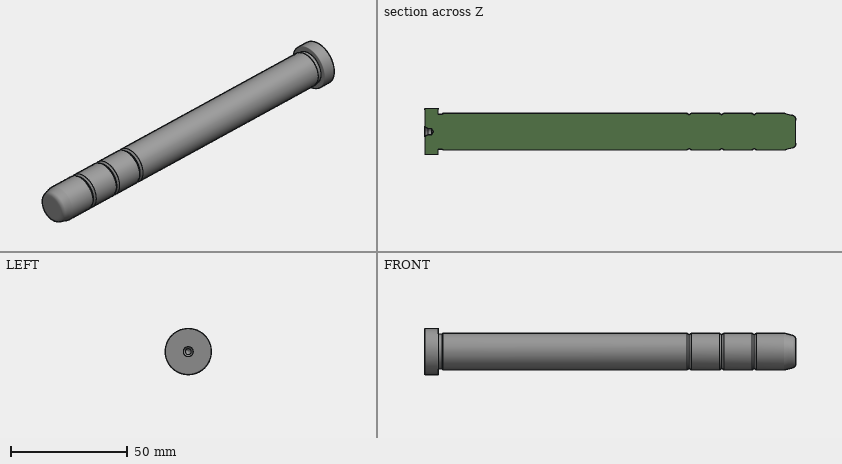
import cadquery as cq
import math

overall_length = 160.0

head_diameter = 20.0
head_length = 6.0
head_outer_fillet = 0.5
head_inner_fillet = 0.3

shaft_diameter = 16.0
neck_diameter = 15.2
neck_end = 8.0
neck_chamfer_length = 0.4

groove_count = 3
first_groove_center = 114.0
groove_pitch = 14.0
groove_width = 2.0
groove_depth = 0.7

nose_taper_length = 5.0
nose_taper_angle = 15.0
nose_radius = 2.0

hole_mouth_diameter = 4.3
hole_diameter = 2.5
hole_depth = 3.0
countersink_angle = 60.0
drill_point_angle = 118.0


def revolve_about_x(profile):
    """Revolve a closed profile drawn in X and radius about the X axis."""
    return profile.close().revolve(360, (0, 0, 0), (1, 0, 0))


def make_head():
    head = cq.Workplane("YZ").circle(head_diameter / 2).extrude(head_length)
    head = head.faces("<X").edges().fillet(head_outer_fillet)
    return head.faces(">X").edges().fillet(head_inner_fillet)


def make_shaft():
    """Neck, shaft and nose; the nose round is tangent to both the taper and the flat end."""
    shaft_radius = shaft_diameter / 2
    neck_radius = neck_diameter / 2
    taper = math.radians(nose_taper_angle)
    taper_start = overall_length - nose_taper_length

    center_x = overall_length - nose_radius
    tangent_x = center_x + nose_radius * math.sin(taper)
    tangent_r = shaft_radius - (tangent_x - taper_start) * math.tan(taper)
    center_r = tangent_r - nose_radius * math.cos(taper)
    middle_angle = (taper + math.pi / 2) / 2
    round_middle = (
        center_x + nose_radius * math.sin(middle_angle),
        center_r + nose_radius * math.cos(middle_angle),
    )

    profile = (
        cq.Workplane("XZ")
        .lineTo(0, neck_radius)
        .lineTo(neck_end - neck_chamfer_length, neck_radius)
        .lineTo(neck_end, shaft_radius)
        .lineTo(taper_start, shaft_radius)
        .lineTo(tangent_x, tangent_r)
        .threePointArc(round_middle, (overall_length, center_r))
        .lineTo(overall_length, 0)
    )
    return revolve_about_x(profile)


def make_groove(center_x):
    shaft_radius = shaft_diameter / 2
    clear_radius = shaft_radius + groove_depth
    profile = (
        cq.Workplane("XZ")
        .moveTo(center_x - groove_width / 2, shaft_radius)
        .lineTo(center_x, shaft_radius - groove_depth)
        .lineTo(center_x + groove_width / 2, shaft_radius)
        .lineTo(center_x + groove_width / 2, clear_radius)
        .lineTo(center_x - groove_width / 2, clear_radius)
    )
    return revolve_about_x(profile)


def make_center_hole():
    """Countersunk drilled hole running along +X from the outer face of the head."""
    mouth_radius = hole_mouth_diameter / 2
    drill_radius = hole_diameter / 2
    countersink_depth = (mouth_radius - drill_radius) / math.tan(math.radians(countersink_angle / 2))
    point_length = drill_radius / math.tan(math.radians(drill_point_angle / 2))
    profile = (
        cq.Workplane("XZ")
        .lineTo(0, mouth_radius)
        .lineTo(countersink_depth, drill_radius)
        .lineTo(hole_depth, drill_radius)
        .lineTo(hole_depth + point_length, 0)
    )
    return revolve_about_x(profile)


result = make_head().union(make_shaft())

for index in range(groove_count):
    result = result.cut(make_groove(first_groove_center + index * groove_pitch))

result = result.cut(make_center_hole())